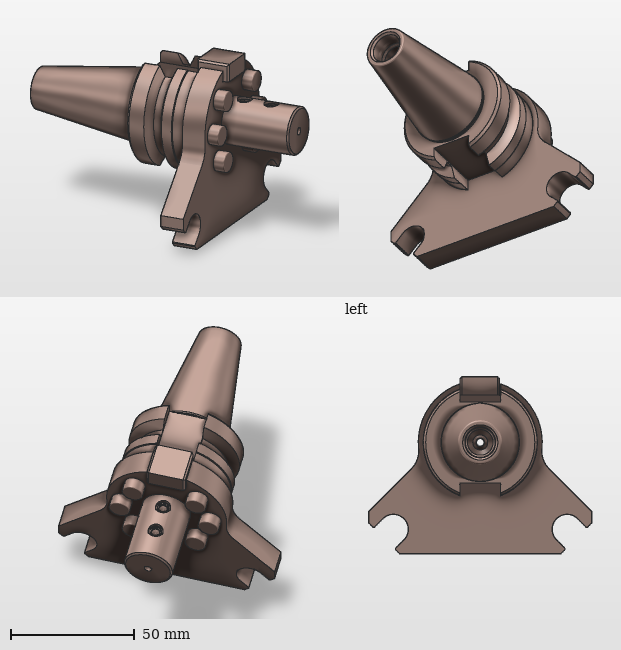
import cadquery as cq
import math


cutter_clearance = 1.2

overall_length = 116.4
overall_height = 71.5
spigot_length = 30.0
plate_thickness = 10.1
plate_back = overall_length - spigot_length
plate_front = plate_back - plate_thickness

taper_small_radius = 8.8
taper_large_radius = 15.8
taper_length = 48.4
taper_end_round = 0.8
neck_chamfer_end = 49.0
neck_radius = 15.6
neck_end = 49.5
neck_relief_radius = 15.5

flange_front = 50.3
flange_radius = 23.0
flange_front_chamfer = 1.0
groove_start = 58.0
groove_floor_start = 60.4
groove_floor_end = 63.7
groove_end = 65.9
groove_floor_radius = 19.0
flange_back = 70.3
flange_back_chamfer = 0.3

collar_radius = 22.8
collar_chamfer = 0.3

keyway_width = 16.4
keyway_floor = 16.3

spigot_radius = 10.0
spigot_chamfer = 0.7

mouth_radius = 7.1
pilot_radius = 12.5 / 2
pilot_depth = 5.0
thread_radius = 12.0 / 2
thread_start = 6.0
thread_end = 7.1
core_radius = 10.4 / 2
core_start = 8.1
core_end = 33.8
funnel_length = 1.2
nozzle_base_radius = 6.0 / 2
nozzle_tip_radius = 3.5 / 2
nozzle_length = 0.9
through_radius = 3.0 / 2

recess_positions = (92.1, 104.1)
recess_radius = 6.0 / 2
recess_floor_radius = 4.7 / 2
recess_rim_floor = 8.6
recess_floor = 9.1
socket_corner_diameter = 4.0
socket_floor = 8.4
socket_cone_radius = 1.6
socket_cone_depth = 0.9

plate_width = 90.0
plate_bottom = 44.9
plate_round_radius = 25.0
shoulder_height = 27.8
blend_radius = 10.0
tip_chamfer = 1.7
corner_notch = 34.2
slot_center = 35.0
slot_diameter = 12.0

key_length = 14.2
key_width = 16.0
key_offset = (keyway_width - key_width) / 2
key_overhang = 1.9
key_top = overall_height - plate_bottom
key_bottom = 19.1
key_chamfer = 0.8

head_radius = 8.5 / 2
head_height = 4.9
head_round = 0.5
bolt_circle_radius = 18.5
bolt_angles = (-45, 0, 45, 135, 180, 225)


def revolve_about_x(points):
    """Revolve a closed (x, radius) outline a full turn about the X axis."""
    return cq.Workplane("XY").polyline(points).close().revolve(360, (0, 0, 0), (1, 0, 0))


def box_between(x_range, y_range, z_range):
    """Axis-aligned box given by its limits along X, Y and Z."""
    size = [high - low for low, high in (x_range, y_range, z_range)]
    corner = (x_range[0], y_range[0], z_range[0])
    return cq.Workplane("XY").box(*size, centered=False).translate(corner)


def cylinder_along_x(x_start, length, radius, y=0.0, z=0.0):
    """Solid cylinder whose axis is parallel to X."""
    return cq.Workplane("YZ", origin=(x_start, y, z)).circle(radius).extrude(length)


def make_holder_blank():
    """Turned outside shape, from the taper to the spigot."""
    outline = [
        (0, 0),
        (0, taper_small_radius),
        (taper_length, taper_large_radius),
        (neck_chamfer_end, neck_radius),
        (neck_end, neck_radius),
        (neck_end, neck_relief_radius),
        (flange_front, neck_relief_radius),
        (flange_front, flange_radius - flange_front_chamfer),
        (flange_front + flange_front_chamfer, flange_radius),
        (groove_start, flange_radius),
        (groove_floor_start, groove_floor_radius),
        (groove_floor_end, groove_floor_radius),
        (groove_end, flange_radius),
        (flange_back, flange_radius),
        (flange_back + flange_back_chamfer, collar_radius),
        (plate_front - collar_chamfer, collar_radius),
        (plate_front, collar_radius - collar_chamfer),
        (plate_front, spigot_radius),
        (overall_length - spigot_chamfer, spigot_radius),
        (overall_length, spigot_radius - spigot_chamfer),
        (overall_length, 0),
    ]
    return revolve_about_x(outline).faces("<X").edges().fillet(taper_end_round)


def make_bore():
    """Stepped bore with a drill-tip funnel that ends around a small conical nozzle."""
    funnel_end = core_end + funnel_length
    return revolve_about_x([
        (0, 0),
        (0, mouth_radius),
        (mouth_radius - pilot_radius, pilot_radius),
        (pilot_depth, pilot_radius),
        (thread_start, thread_radius),
        (thread_end, thread_radius),
        (core_start, core_radius),
        (core_end, core_radius),
        (funnel_end, nozzle_base_radius),
        (funnel_end - nozzle_length, nozzle_tip_radius),
        (funnel_end - nozzle_length, through_radius),
        (overall_length, through_radius),
        (overall_length, 0),
    ])


def make_screw_recess(x):
    """Cutters for a round recess whose raised floor has a beveled rim and a cone-ended hexagon socket."""
    cutter_top = spigot_radius + cutter_clearance
    recess = (
        cq.Workplane("XZ")
        .polyline([
            (0, recess_floor),
            (recess_floor_radius, recess_floor),
            (recess_radius, recess_rim_floor),
            (recess_radius, cutter_top),
            (0, cutter_top),
        ])
        .close()
        .revolve(360, (0, 0, 0), (0, 1, 0))
    )
    socket = (
        cq.Workplane("XY", origin=(0, 0, socket_floor))
        .polygon(6, socket_corner_diameter)
        .extrude(recess_floor - socket_floor)
    )
    cone_tip = cq.Vector(0, 0, socket_floor - socket_cone_depth)
    socket_cone = cq.Workplane(cq.Solid.makeCone(0, socket_cone_radius, socket_cone_depth, cone_tip))
    return [tool.translate((x, 0, 0)) for tool in (recess, socket, socket_cone)]


def make_holder():
    """Tool holder: taper, grooved flange, collar and spigot in one piece."""
    holder = make_holder_blank().cut(make_bore())
    half_width = keyway_width / 2
    for side in (1, -1):
        z_range = sorted((side * keyway_floor, side * (flange_radius + cutter_clearance)))
        holder = holder.cut(box_between((flange_front, plate_front), (-half_width, half_width), z_range))
    for x in recess_positions:
        for tool in make_screw_recess(x):
            holder = holder.cut(tool)
    return holder


def make_plate_outline():
    """Half of the plate face on the +Y side, as a closed (y, z) outline."""
    half_width = plate_width / 2
    flank_sum = half_width - shoulder_height

    center_distance = plate_round_radius + blend_radius
    center_sum = flank_sum + blend_radius * math.sqrt(2)
    center_angle = math.pi / 4 - math.acos(center_sum / (center_distance * math.sqrt(2)))
    center_y = center_distance * math.cos(center_angle)
    center_z = center_distance * math.sin(center_angle)

    def on_blend(angle):
        return (center_y + blend_radius * math.cos(angle), center_z + blend_radius * math.sin(angle))

    arc_start = center_angle + math.pi
    arc_end = math.pi * 5 / 4
    round_start = (plate_round_radius * math.cos(center_angle), plate_round_radius * math.sin(center_angle))
    round_middle_angle = (math.pi / 2 + center_angle) / 2
    round_middle = (
        plate_round_radius * math.cos(round_middle_angle),
        plate_round_radius * math.sin(round_middle_angle),
    )
    return (
        cq.Workplane("YZ", origin=(plate_front, 0, 0))
        .moveTo(0, plate_round_radius)
        .threePointArc(round_middle, round_start)
        .threePointArc(on_blend((arc_start + arc_end) / 2), on_blend(arc_end))
        .lineTo(half_width, -shoulder_height)
        .lineTo(half_width, tip_chamfer - corner_notch)
        .lineTo(half_width - tip_chamfer, -corner_notch)
        .lineTo(corner_notch, -corner_notch)
        .lineTo(corner_notch, tip_chamfer - plate_bottom)
        .lineTo(corner_notch - tip_chamfer, -plate_bottom)
        .lineTo(0, -plate_bottom)
        .close()
    )


def make_corner_slot():
    """Round-ended slot that opens at 45 degrees through the lower +Y corner."""
    end = cylinder_along_x(plate_front, plate_thickness, slot_diameter / 2)
    channel = box_between(
        (plate_front, plate_back), (0, slot_center), (-slot_diameter / 2, slot_diameter / 2)
    )
    slot = end.union(channel).rotate((0, 0, 0), (1, 0, 0), -45)
    return slot.translate((0, slot_center, -slot_center))


def make_plate():
    """Torque plate around the spigot, with a key seat on top and a slot in each lower corner."""
    half = make_plate_outline().extrude(plate_thickness).cut(make_corner_slot())
    plate = half.union(half.mirror("XZ"))
    plate = plate.cut(cylinder_along_x(plate_front, plate_thickness, spigot_radius))
    seat = box_between(
        (plate_front, plate_back),
        (-keyway_width / 2, keyway_width / 2),
        (key_bottom, plate_round_radius),
    )
    return plate.cut(seat)


def make_key():
    """Key in the plate's seat, chamfered around the top and ends of its two side faces."""
    x_start = plate_front - key_overhang
    key = box_between(
        (x_start, x_start + key_length),
        (key_offset - key_width / 2, key_offset + key_width / 2),
        (key_bottom, key_top),
    )
    for side in ("<Y", ">Y"):
        key = key.faces(side).edges("not <Z").chamfer(key_chamfer)
    return key


def make_bolt_head(angle):
    """Cylindrical screw head on the back of the plate, rounded at its free end."""
    y = bolt_circle_radius * math.cos(math.radians(angle))
    z = bolt_circle_radius * math.sin(math.radians(angle))
    head = cylinder_along_x(plate_back, head_height, head_radius, y, z)
    return head.faces(">X").edges().fillet(head_round)


holder = make_holder()
plate = make_plate()
key = make_key()
bolt_heads = [make_bolt_head(angle) for angle in bolt_angles]

result = cq.Compound.makeCompound(
    [holder.val(), plate.val(), key.val(), *[head.val() for head in bolt_heads]]
)